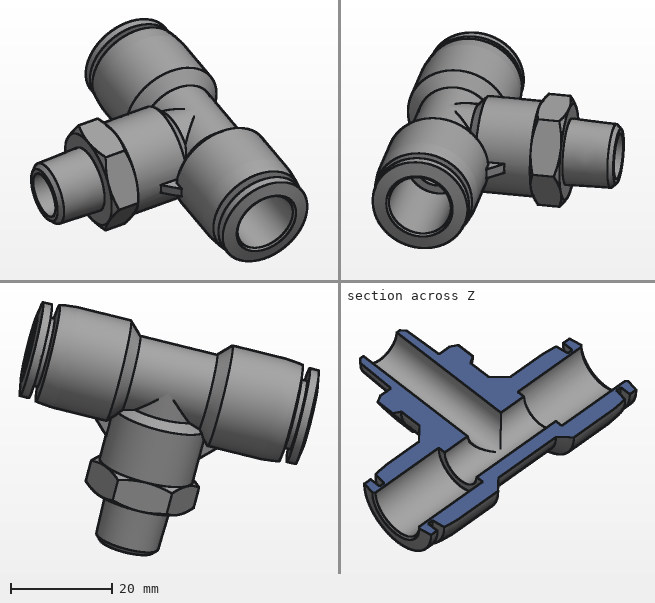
import cadquery as cq
import math

run_half_length = 28.65
neck_radius = 7.75
neck_half_length = 7.85
socket_radius = 10.25
shoulder_x = neck_half_length + socket_radius - neck_radius
taper_start_x = 21.3
taper_end_x = 23.7
taper_end_radius = 10.0
socket_face_x = 25.2
socket_face_radius = 9.85
socket_face_slope = 0.4

collar_inner_x = 26.35
collar_radius = 9.55
collar_face_slope = 0.5
collar_stem_radius = 7.0

tube_bore_radius = 6.25
tube_bore_depth = 17.75
tube_bore_chamfer = 0.45
flow_bore_radius = 4.5

branch_radius = 9.5
branch_cone_start = 5.55
branch_cone_end = branch_cone_start + branch_radius - neck_radius
hex_start = 18.4
hex_end = 24.4
hex_across_flats = 19.15
hex_chamfer_angle = 30.0
thread_root_radius = 6.65
thread_tip_radius = 6.35
thread_chamfer_start = 33.4
thread_face_radius = 5.45
branch_length = 34.4

gusset_thickness = 2.0
gusset_half_width = 12.5
gusset_top = socket_radius
gusset_inner_half_width = branch_radius - 0.6


def revolve_about_x(profile):
    """Revolve an (x, radius) outline about the X axis."""
    return cq.Workplane("XY").polyline(profile).close().revolve(360, (0, 0, 0), (1, 0, 0))


def revolve_about_branch(profile):
    """Revolve a (radius, distance along the branch) outline about the Y axis."""
    points = [(radius, -distance) for radius, distance in profile]
    return cq.Workplane("XY").polyline(points).close().revolve(360, (0, 0, 0), (0, 1, 0))


def run_half():
    return revolve_about_x([
        (0, 0),
        (0, neck_radius),
        (neck_half_length, neck_radius),
        (shoulder_x, socket_radius),
        (taper_start_x, socket_radius),
        (taper_end_x, taper_end_radius),
        (socket_face_x - socket_face_slope, socket_face_radius),
        (socket_face_x, collar_stem_radius),
        (collar_inner_x, collar_stem_radius),
        (collar_inner_x, collar_radius),
        (run_half_length - collar_face_slope, collar_radius),
        (run_half_length, tube_bore_radius + tube_bore_chamfer),
        (run_half_length, 0),
    ])


def tube_bore():
    return revolve_about_x([
        (run_half_length - tube_bore_depth, 0),
        (run_half_length - tube_bore_depth, tube_bore_radius),
        (run_half_length - tube_bore_chamfer, tube_bore_radius),
        (run_half_length, tube_bore_radius + tube_bore_chamfer),
        (run_half_length, 0),
    ])


def branch():
    return revolve_about_branch([
        (0, 0),
        (neck_radius, 0),
        (neck_radius, branch_cone_start),
        (branch_radius, branch_cone_end),
        (branch_radius, hex_end),
        (thread_root_radius, hex_end),
        (thread_tip_radius, thread_chamfer_start),
        (thread_face_radius, branch_length),
        (0, branch_length),
    ])


def hex_nut():
    """Hexagon with corners on +-X, both ends chamfered to the inscribed circle."""
    corner_radius = hex_across_flats / math.sqrt(3)
    flat_radius = hex_across_flats / 2
    chamfer_depth = (corner_radius - flat_radius) * math.tan(math.radians(hex_chamfer_angle))
    prism = (
        cq.Workplane("XZ", origin=(0, -hex_start, 0))
        .polygon(6, 2 * corner_radius)
        .extrude(hex_end - hex_start)
    )
    chamfer_envelope = revolve_about_branch([
        (0, hex_start),
        (flat_radius, hex_start),
        (corner_radius, hex_start + chamfer_depth),
        (corner_radius, hex_end - chamfer_depth),
        (flat_radius, hex_end),
        (0, hex_end),
    ])
    return prism.intersect(chamfer_envelope)


def gussets():
    """One flat trapezoid through the branch; its 45 degree ends form the two gussets."""
    depth = gusset_half_width - gusset_inner_half_width
    outline = [
        (-gusset_half_width, 0),
        (-gusset_half_width, -gusset_top),
        (-gusset_inner_half_width, -gusset_top - depth),
        (gusset_inner_half_width, -gusset_top - depth),
        (gusset_half_width, -gusset_top),
        (gusset_half_width, 0),
    ]
    return cq.Workplane("XY").polyline(outline).close().extrude(gusset_thickness / 2, both=True)


def both_ends(half):
    return half.union(half.mirror("YZ"))


body = both_ends(run_half())
body = body.union(branch())
body = body.union(hex_nut()).union(gussets())

run_bore = cq.Workplane("YZ").circle(flow_bore_radius).extrude(run_half_length, both=True)
branch_bore = cq.Workplane("XZ").circle(flow_bore_radius).extrude(branch_length)

result = body.cut(run_bore).cut(branch_bore).cut(both_ends(tube_bore()))